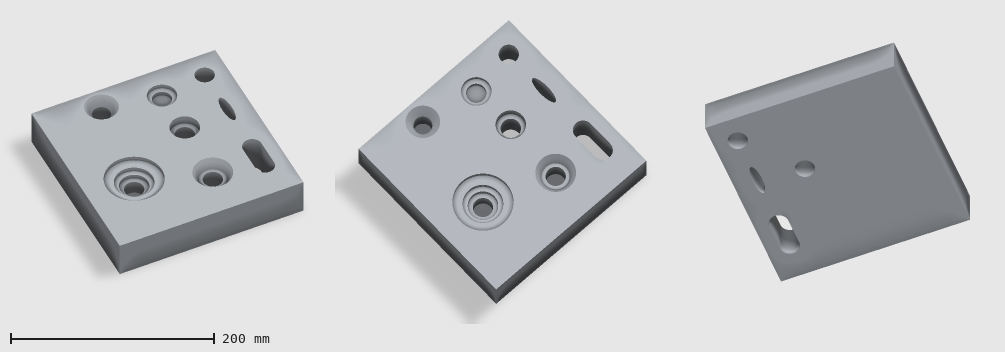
import cadquery as cq

plate_side = 200.0
plate_thickness = 40.0

bore_diameter = 20.0
counterbore_diameter = 30.0
shallow_step = 5.0
deep_step = 10.0
blind_depth = 30.0

top_row_y = 75.8
round_hole_x = -73.7
ellipse_x = -22.5
ellipse_half_length = 16.7
ellipse_half_width = 5.0
slot_x = 48.5
slot_length = 48.5

blind_counterbore_center = (-66.4, 25.9)
through_counterbore_center = (-17.8, 27.3)

stepped_sink_center = (49.2, 25.7)
stepped_sink_top_diameter = 40.0
stepped_sink_floor_diameter = 27.5

plain_sink_center = (-78.3, -34.3)
plain_sink_top_diameter = 34.0
plain_sink_bore_diameter = 18.59

nest_center = (23.7, -47.7)
nest_step_diameters = (60.0, 40.0, counterbore_diameter)


def top_plane(center):
    """Workplane on the top face, facing up, with its origin at the given center."""
    return cq.Workplane("XY", origin=(*center, plate_thickness))


def round_cut(center, diameter, depth):
    """Cylinder from the top face down to the given depth."""
    return top_plane(center).circle(diameter / 2).extrude(-depth)


def conical_cut(center, top_diameter, floor_diameter, depth):
    """Cone narrowing from the top face down to its floor diameter."""
    return (
        top_plane(center)
        .circle(top_diameter / 2)
        .workplane(offset=-depth)
        .circle(floor_diameter / 2)
        .loft(ruled=True)
    )


def cut_through_row(body):
    """Round hole, elliptical hole and slot, all through the plate."""
    round_hole = round_cut((round_hole_x, top_row_y), bore_diameter, plate_thickness)
    ellipse = (
        top_plane((ellipse_x, top_row_y))
        .ellipse(ellipse_half_length, ellipse_half_width)
        .extrude(-plate_thickness)
    )
    slot = top_plane((slot_x, top_row_y)).slot2D(slot_length, bore_diameter).extrude(-plate_thickness)
    return body.cut(round_hole).cut(ellipse).cut(slot)


def cut_counterbored_hole(body, center, counterbore_depth, bore_depth):
    """Bore with a wider flat-bottomed recess at the top."""
    body = body.cut(round_cut(center, counterbore_diameter, counterbore_depth))
    return body.cut(round_cut(center, bore_diameter, bore_depth))


def cut_countersunk_hole(body, center, top_diameter, floor_diameter, hole_diameter):
    """Blind bore below a conical recess."""
    body = body.cut(round_cut(center, hole_diameter, blind_depth))
    return body.cut(conical_cut(center, top_diameter, floor_diameter, deep_step))


def cut_step_nest(body):
    """Concentric steps of equal height above a blind bore."""
    for level, diameter in enumerate(nest_step_diameters, start=1):
        body = body.cut(round_cut(nest_center, diameter, level * shallow_step))
    return body.cut(round_cut(nest_center, bore_diameter, blind_depth))


plate = cq.Workplane("XY").box(plate_side, plate_side, plate_thickness, centered=(True, True, False))
plate = cut_through_row(plate)
plate = cut_counterbored_hole(plate, blind_counterbore_center, shallow_step, deep_step)
plate = cut_counterbored_hole(plate, through_counterbore_center, deep_step, plate_thickness)
plate = cut_countersunk_hole(
    plate, stepped_sink_center, stepped_sink_top_diameter, stepped_sink_floor_diameter, bore_diameter
)
plate = cut_countersunk_hole(
    plate, plain_sink_center, plain_sink_top_diameter, plain_sink_bore_diameter, plain_sink_bore_diameter
)
result = cut_step_nest(plate)